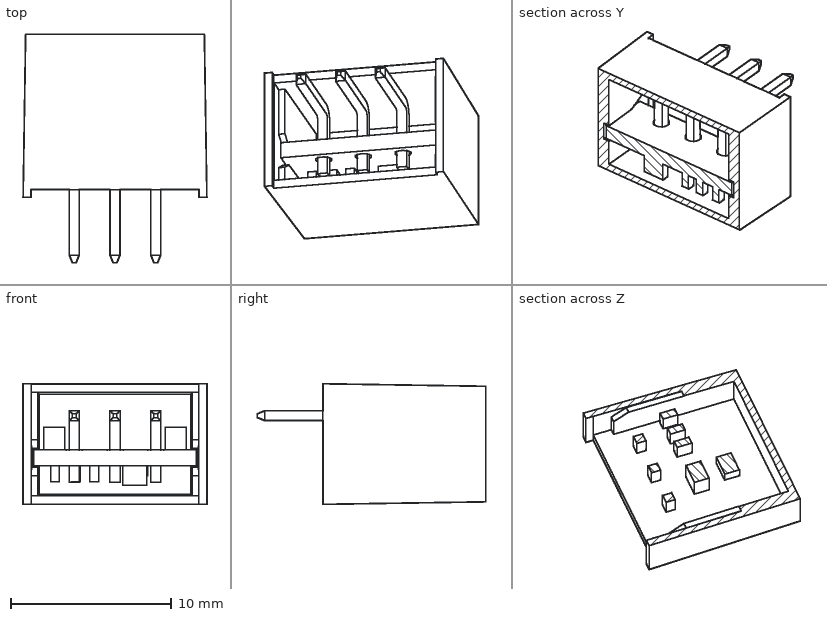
import cadquery as cq
import math

tip_y = -7.15
back_y = 7.15

mouth_width = 11.5
mouth_height = 7.55
housing_length = 10.2
side_wall = 0.5
top_wall = 0.53
back_wall = 0.5
mouth_setback = 0.49
outer_inset = 0.16
inner_inset = 0.13
mouth_y = back_y - housing_length
floor_y = back_y - back_wall

ledge_setback = 1.69
ledge_front_y = mouth_y + ledge_setback
ledge_depth = 0.4
slot_height = 1.2
slot_floor_height = 1.09
slot_lead_in_height = 0.51
slot_lead_in_depth = 1.0

board_width = 10.12
board_thickness = 1.0
board_front_y = -1.46
board_z = -0.86
board_top_z = board_z + board_thickness / 2
board_bottom_z = board_z - board_thickness / 2
pin_hole_diameter = 1.0

top_part_width = 1.32
top_part_height = 1.4
top_part_x = 3.79
small_part_width = 0.55
small_part_height = 1.0
small_part_xs = (-3.75, -2.45, -1.3)
tall_part_width = 1.5
tall_part_height = 1.2
tall_part_x = 1.25
low_part_height = 0.63
low_part_offset = 0.06
part_length = 1.0
front_row_y = 1.43
rear_row_y = front_row_y + 2 * part_length

pin_side = 0.63
pin_pitch = 2.55
pin_z = 1.77
pin_leg_y = -0.49
pin_bottom_z = -2.37
pin_inner_radius = 0.3
pin_outer_radius = pin_inner_radius + pin_side
point_length = 0.49
point_end_side = 0.23


def box_between(width, y_start, y_end, z_low, z_high, x_centre=0.0):
    """Block given by its X width and centre and by its Y and Z limits."""
    return (
        cq.Workplane("XY")
        .box(width, y_end - y_start, z_high - z_low, centered=(True, False, False))
        .translate((x_centre, y_start, z_low))
    )


def drafted_block(width, height, y_start, y_end, lean):
    """Block that narrows towards +Y; width and height are at the mouth, lean is over the housing length."""

    def section(y):
        inset = 2 * lean * (y - mouth_y) / housing_length
        return cq.Wire.makePolygon(
            [
                cq.Vector(sx * (width - inset) / 2, y, sz * (height - inset) / 2)
                for sx, sz in ((-1, -1), (1, -1), (1, 1), (-1, 1))
            ],
            close=True,
        )

    return cq.Workplane(cq.Solid.makeLoft([section(y_start), section(y_end)], True))


def make_slot_opening():
    """Board slot with sloped lead-ins, spanning the whole housing width."""
    half = slot_height / 2
    floor_half = slot_floor_height / 2
    wide_half = half + slot_lead_in_height
    straight_y = ledge_front_y + slot_lead_in_depth
    return (
        cq.Workplane("YZ")
        .polyline(
            [
                (ledge_front_y, board_z - wide_half),
                (straight_y, board_z - half),
                (floor_y, board_z - floor_half),
                (floor_y, board_z + floor_half),
                (straight_y, board_z + half),
                (ledge_front_y, board_z + wide_half),
            ]
        )
        .close()
        .extrude(mouth_width / 2, both=True)
    )


def make_housing():
    inner_width = mouth_width - 2 * side_wall
    inner_height = mouth_height - 2 * top_wall
    shell = drafted_block(mouth_width, mouth_height, mouth_y, back_y, outer_inset)
    mouth = drafted_block(inner_width, inner_height, mouth_y, ledge_front_y, inner_inset)
    ledge_gap = inner_width - 2 * ledge_depth
    between_ledges = drafted_block(ledge_gap, inner_height, ledge_front_y, floor_y, inner_inset)
    behind_ledge_faces = drafted_block(inner_width, inner_height, ledge_front_y, floor_y, inner_inset)
    slots = behind_ledge_faces.intersect(make_slot_opening())
    setback = box_between(
        inner_width, mouth_y, mouth_y + mouth_setback, -mouth_height / 2, mouth_height / 2
    )
    return shell.cut(mouth).cut(between_ledges).cut(slots).cut(setback)


def hanging_part(width, height, x_centre, y_start):
    """Component on the underside of the board."""
    return box_between(
        width, y_start, y_start + part_length, board_bottom_z - height, board_bottom_z, x_centre
    )


def make_board(pin_xs):
    board = box_between(board_width, board_front_y, floor_y, board_bottom_z, board_top_z)
    holes = (
        cq.Workplane("XY", origin=(0, 0, board_bottom_z))
        .pushPoints([(x, pin_leg_y) for x in pin_xs])
        .circle(pin_hole_diameter / 2)
        .extrude(board_thickness)
    )
    board = board.cut(holes)
    for x in (-top_part_x, top_part_x):
        board = board.union(
            box_between(
                top_part_width,
                rear_row_y,
                rear_row_y + part_length,
                board_top_z,
                board_top_z + top_part_height,
                x,
            )
        )
    for x in small_part_xs:
        board = board.union(hanging_part(small_part_width, small_part_height, x, front_row_y))
    board = board.union(hanging_part(tall_part_width, tall_part_height, tall_part_x, front_row_y))
    low_part_x = tall_part_x + low_part_offset
    return board.union(hanging_part(tall_part_width, low_part_height, low_part_x, rear_row_y))


def make_pin(x_centre):
    """Square pin bent at a right angle, with a pyramid point at the -Y end."""
    half = pin_side / 2
    arm_start_y = tip_y + point_length
    arm_top_z = pin_z + half
    arm_bottom_z = pin_z - half
    leg_front_y = pin_leg_y - half
    leg_back_y = pin_leg_y + half
    bend_y = leg_front_y - pin_inner_radius
    bend_z = arm_bottom_z - pin_inner_radius
    on_arc = math.sqrt(0.5)
    inner_mid = (bend_y + on_arc * pin_inner_radius, bend_z + on_arc * pin_inner_radius)
    outer_mid = (bend_y + on_arc * pin_outer_radius, bend_z + on_arc * pin_outer_radius)
    bent_bar = (
        cq.Workplane("YZ")
        .moveTo(arm_start_y, arm_bottom_z)
        .lineTo(bend_y, arm_bottom_z)
        .threePointArc(inner_mid, (leg_front_y, bend_z))
        .lineTo(leg_front_y, pin_bottom_z)
        .lineTo(leg_back_y, pin_bottom_z)
        .lineTo(leg_back_y, bend_z)
        .threePointArc(outer_mid, (bend_y, arm_top_z))
        .lineTo(arm_start_y, arm_top_z)
        .close()
        .extrude(half, both=True)
    )
    point = (
        cq.Workplane("XZ", origin=(0, arm_start_y, pin_z))
        .rect(pin_side, pin_side)
        .workplane(offset=point_length)
        .rect(point_end_side, point_end_side)
        .loft(ruled=True)
    )
    return bent_bar.union(point).translate((x_centre, 0, 0))


pin_xs = [i * pin_pitch for i in (-1, 0, 1)]
housing = make_housing()
board = make_board(pin_xs)
pins = [make_pin(x) for x in pin_xs]

result = cq.Compound.makeCompound([housing.val(), board.val(), *[pin.val() for pin in pins]])